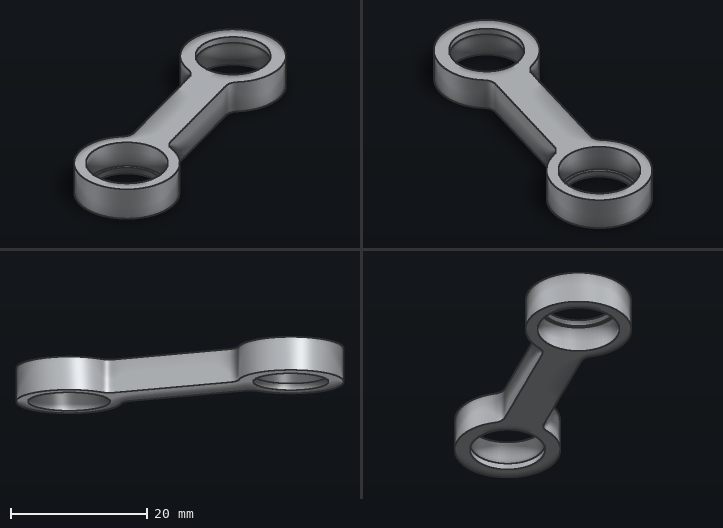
import cadquery as cq

THICKNESS = 5.0
RING_DIAMETER = 15.5
CENTER_DISTANCE = 35.0
BAR_WIDTH = 6.0
NECK_FILLET = 2.0
SEAT_DIAMETER = 12.0
LIP_DIAMETER = 11.0
LIP_THICKNESS = 1.0

RING_Y = CENTER_DISTANCE / 2
SEAT_DEPTH = THICKNESS - LIP_THICKNESS


def link_body():
    """Two round ends joined by a straight bar, with filleted necks."""
    bar = cq.Workplane("XY").rect(BAR_WIDTH, CENTER_DISTANCE).extrude(THICKNESS)
    ends = (
        cq.Workplane("XY")
        .pushPoints([(0, -RING_Y), (0, RING_Y)])
        .circle(RING_DIAMETER / 2)
        .extrude(THICKNESS)
    )
    neck_zone = cq.selectors.BoxSelector(
        (-BAR_WIDTH, -RING_Y, 0),
        (BAR_WIDTH, RING_Y, THICKNESS),
    )
    return bar.union(ends).edges("|Z").edges(neck_zone).fillet(NECK_FILLET)


def stepped_bore(y, seat_bottom):
    """Cutter for a bearing seat that leaves a thin retaining lip at one face."""
    through_hole = cq.Workplane("XY").center(0, y).circle(LIP_DIAMETER / 2).extrude(THICKNESS)
    seat = (
        cq.Workplane("XY", origin=(0, y, seat_bottom))
        .circle(SEAT_DIAMETER / 2)
        .extrude(SEAT_DEPTH)
    )
    return through_hole.union(seat)


front_bore = stepped_bore(-RING_Y, LIP_THICKNESS)
rear_bore = stepped_bore(RING_Y, 0)

result = link_body().cut(front_bore).cut(rear_bore)